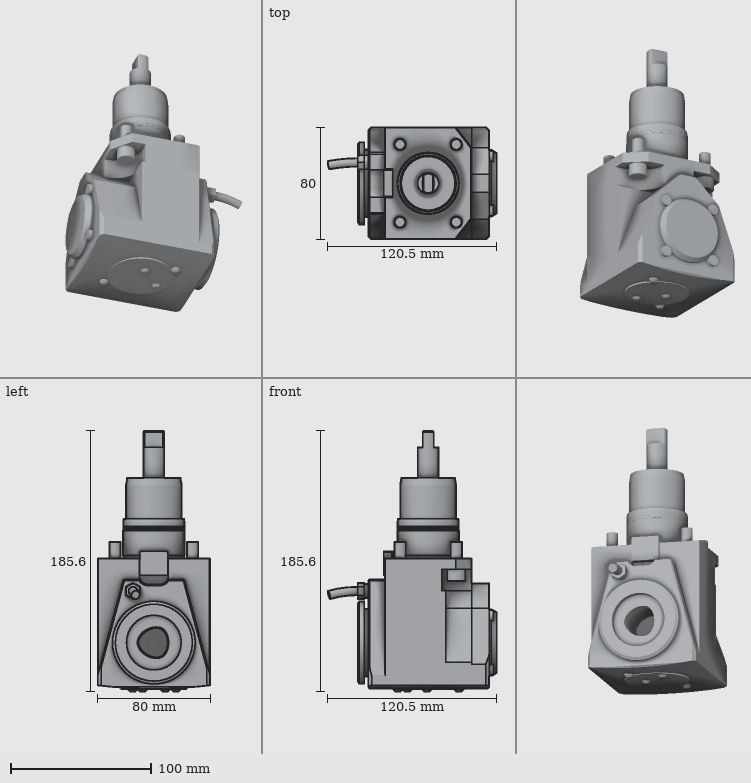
import cadquery as cq
import math


housing_width = 80.0
half_width = housing_width / 2
block_half_length = 31.0
base_left = -42.7
base_right = 43.5
base_side_bottom = -90.6
base_crown_bottom = -93.0
corner_chamfer = 2.5
base_end_chamfer = 1.3
edge_chamfer = 0.5
mount_corner_x = 19.7
mount_corner_y = 25.5

shoulder_top = -15.0
shoulder_top_half_width = 21.7
shoulder_foot = -83.4
shoulder_chamfer = 1.0

gable_top = -18.0
gable_top_half_width = 6.3
gable_knee = -35.8
gable_knee_half_width = 25.5
gable_foot = -75.5

flank_start = 12.5
flank_inset = 0.4
flank_foot = -74.1
access_start = 9.7
access_top = -7.8
access_bottom = -23.0
access_half_width = 11.7
access_corner_radius = 21.2

slot_width = 20.8
slot_bottom = -18.5
slot_corner_radius = 6.1
slot_floor = -25.3
key_width = 20.0
key_left = -31.8
key_top = 5.0
key_bottom = -12.3
key_chamfer = 0.7

spigot_radius = 44.0 / 2
spigot_relief_radius = 21.7
spigot_relief_top = 2.2
spigot_bevel = 0.4
seat_top = 20.0
ring_bottom = 20.8
ring_top = 21.7
collar_radius = 22.0
collar_bottom = 22.8
collar_bevel_start = 25.8
collar_top = 28.0
collar_top_radius = 21.5
nose_radius = 40.0 / 2
nose_bevel_start = 52.2
nose_top = 57.2
nose_top_radius = 19.1

shaft_diameter = 15.0
shaft_top = 90.6
shaft_chamfer = 0.7
tang_thickness = 8.0
tang_bottom = 79.0

screw_x = 20.0
screw_y = 27.7
stud_diameter = 8.2
stud_top = 11.7
stud_chamfer = 0.4
head_diameter = 13.0
head_bottom = -16.3

spindle_z = -60.2
flange_face = -50.3
flange_back = -45.5
flange_diameter = 58.9
flange_chamfer_depth = 2.0
flange_chamfer_height = 1.3
neck_diameter = 48.5
recess_diameter = 39.0
recess_depth = 5.0
polygon_radius = 11.1
polygon_lobe = 0.6
polygon_taper = 0.7
polygon_depth = 29.7
polygon_steps = 24

cap_diameter = 47.5
cap_face_diameter = 42.7
cap_rim_end = 45.1
cap_end = 49.0
cap_screw_offset = 19.3
cap_screw_diameter = 7.6
cap_screw_end = 46.5

gland_y = 14.9
gland_z = -23.4
gland_collar_diameter = 10.0
nut_across_flats = 10.0
nut_face = -50.3
nut_back = -45.7
cable_diameter = 6.1
cable_end_x = -70.5
cable_drop_y = -1.9
cable_drop_z = -2.8

cover_diameter = 46.5
cover_bottom = -93.4
foot_positions = [(-21.5, 15.0), (-14.9, -8.2), (-1.0, 8.0), (22.0, -15.8)]
foot_diameter = 6.7
foot_tip_diameter = 3.5
foot_bottom = -95.0


def side_prism(points, x_start, x_end):
    """Extrude a closed (y, z) outline along X."""
    return cq.Workplane("YZ", origin=(x_start, 0, 0)).polyline(points).close().extrude(x_end - x_start)


def mirrored_outline(right_points):
    """Close a (y, z) outline by mirroring its +Y half, listed from bottom to top."""
    return right_points + [(-y, z) for y, z in reversed(right_points)]


def x_disc(diameter, x_start, x_end, y=0, z=spindle_z):
    """Cylinder along X."""
    return cq.Workplane("YZ", origin=(x_start, y, z)).circle(diameter / 2).extrude(x_end - x_start)


def gable_outline(inset, foot):
    """(y, z) outline of the gable with its slopes moved inward."""
    return mirrored_outline([
        (half_width - inset, base_side_bottom),
        (half_width - inset, foot),
        (gable_knee_half_width - inset, gable_knee),
        (gable_top_half_width - inset, gable_top),
    ])


def make_base():
    """Crowned foot of the housing with the shoulder and gable above it."""
    length = base_right - base_left
    envelope = (
        cq.Workplane("XY", origin=((base_left + base_right) / 2, 0, base_crown_bottom))
        .rect(length, housing_width)
        .extrude(shoulder_top - base_crown_bottom)
        .edges("|Z").chamfer(corner_chamfer)
        .faces("<Z").edges("<X or >X").chamfer(base_end_chamfer)
    )
    profile = (
        cq.Workplane("YZ", origin=(base_left, 0, 0))
        .moveTo(-half_width, base_side_bottom)
        .threePointArc((0, base_crown_bottom), (half_width, base_side_bottom))
        .lineTo(half_width, shoulder_top)
        .lineTo(-half_width, shoulder_top)
        .close()
        .extrude(length)
    )
    shoulder_space = side_prism(
        mirrored_outline([
            (half_width, base_crown_bottom),
            (half_width, shoulder_foot),
            (shoulder_top_half_width, shoulder_top),
        ]),
        base_left, 0,
    )
    shoulder_space = shoulder_space.faces(">Z").edges("|X").chamfer(shoulder_chamfer)
    shoulder_space = shoulder_space.cut(make_key_slot())
    shoulder_space = shoulder_space.faces("<X").edges("not <Z").chamfer(shoulder_chamfer)
    gable_space = side_prism(gable_outline(0, gable_foot), block_half_length, base_right)
    gable_space = gable_space.union(
        cq.Workplane("XY", origin=(0, -half_width, base_crown_bottom))
        .box(base_right, housing_width, gable_foot - base_crown_bottom, centered=False)
    )
    return envelope.intersect(profile).intersect(shoulder_space.union(gable_space))


def make_block():
    """Upright block that carries the mounting face."""
    block = (
        cq.Workplane("XY", origin=(0, 0, base_side_bottom))
        .rect(2 * block_half_length, housing_width)
        .extrude(-base_side_bottom)
        .edges("|Z and <X").chamfer(edge_chamfer)
    )
    for side in (1, -1):
        corner = (
            cq.Workplane("XY", origin=(0, 0, access_bottom))
            .polyline([
                (mount_corner_x, side * half_width),
                (block_half_length, side * half_width),
                (block_half_length, side * mount_corner_y),
            ])
            .close()
            .extrude(-access_bottom)
        )
        block = block.cut(corner)
    return block.faces(">Z").edges().chamfer(edge_chamfer)


def cut_screw_pockets(block):
    """Free the screw heads and let the gable slopes run on into the block."""
    reach = block_half_length - flank_start
    flank_space = (
        cq.Workplane("XY", origin=(flank_start, -half_width, flank_foot))
        .box(reach, housing_width, access_bottom - flank_foot, centered=False)
    )
    kept = side_prism(gable_outline(flank_inset, flank_foot), flank_start, block_half_length)
    block = block.cut(flank_space.cut(kept))

    pocket_depth = half_width - access_half_width
    pocket_length = block_half_length - access_start
    for side in (1, -1):
        pocket = (
            cq.Workplane("XY", origin=(
                access_start + pocket_length / 2,
                side * (access_half_width + pocket_depth / 2),
                access_bottom,
            ))
            .rect(pocket_length, pocket_depth)
            .extrude(access_top - access_bottom)
        )
        inner_edge = "|Z and <X and <Y" if side > 0 else "|Z and <X and >Y"
        block = block.cut(pocket.edges(inner_edge).fillet(access_corner_radius))
    return block


def make_key_slot():
    """Round-cornered slot through the -X side, open at the mounting face."""
    return (
        cq.Workplane("YZ", origin=(base_left, 0, slot_bottom / 2))
        .rect(slot_width, -slot_bottom)
        .extrude(slot_floor - base_left)
        .edges("|X and <Z").fillet(slot_corner_radius)
    )


def make_key():
    length = slot_floor - key_left
    return (
        cq.Workplane("XY", origin=(key_left + length / 2, 0, key_bottom))
        .rect(length, key_width)
        .extrude(key_top - key_bottom)
        .faces("<Y or >Y").edges(">Z or >X").chamfer(key_chamfer)
    )


def make_spigot():
    """Turned centring spigot with a sealing groove below its collar."""
    profile = [
        (0, 0),
        (spigot_relief_radius, 0),
        (spigot_relief_radius, spigot_relief_top - spigot_bevel),
        (spigot_radius, spigot_relief_top),
        (spigot_radius, seat_top - spigot_bevel),
        (spigot_relief_radius, seat_top),
        (spigot_relief_radius, ring_bottom),
        (collar_radius, ring_bottom),
        (collar_radius, ring_top),
        (spigot_relief_radius, ring_top),
        (spigot_relief_radius, collar_bottom),
        (collar_radius, collar_bottom),
        (collar_radius, collar_bevel_start),
        (collar_top_radius, collar_top),
        (nose_radius, collar_top),
        (nose_radius, nose_bevel_start),
        (nose_top_radius, nose_top),
        (0, nose_top),
    ]
    return cq.Workplane("XZ").polyline(profile).close().revolve(360, (0, 0, 0), (0, 1, 0))


def make_shaft():
    """Drive shaft with a flat tang."""
    shaft = cq.Workplane("XY").circle(shaft_diameter / 2).extrude(shaft_top)
    flat_depth = (shaft_diameter - tang_thickness) / 2
    for side in (1, -1):
        flat = (
            cq.Workplane("XY", origin=(side * (tang_thickness + flat_depth) / 2, 0, tang_bottom))
            .rect(flat_depth, 2 * shaft_diameter)
            .extrude(shaft_top - tang_bottom)
        )
        shaft = shaft.cut(flat)
    return shaft.faces(">Z").chamfer(shaft_chamfer)


def make_clamping_screw():
    stud = (
        cq.Workplane("XY", origin=(0, 0, access_top))
        .circle(stud_diameter / 2)
        .extrude(stud_top - access_top)
        .faces(">Z").chamfer(stud_chamfer)
    )
    head = (
        cq.Workplane("XY", origin=(0, 0, head_bottom))
        .circle(head_diameter / 2)
        .extrude(access_top - head_bottom)
        .faces("<Z").chamfer(stud_chamfer)
    )
    return stud.union(head)


def make_flange():
    """Spindle flange and neck in front of the shoulder."""
    neck = x_disc(neck_diameter, flange_back, base_left)
    flange = x_disc(flange_diameter, flange_face, flange_back)
    flange = flange.faces("<X").chamfer(flange_chamfer_height, flange_chamfer_depth)
    return neck.union(flange)


def lobed_point(angle, mean_radius):
    """Point of the smooth three-lobed curve, one lobe toward +Y."""
    support = mean_radius + polygon_lobe * math.cos(3 * angle)
    slope = -3 * polygon_lobe * math.sin(3 * angle)
    return (
        support * math.cos(angle) - slope * math.sin(angle),
        support * math.sin(angle) + slope * math.cos(angle),
    )


def make_polygon_bore():
    """Tapered three-lobed bore from the recess floor inward."""
    start = flange_face + recess_depth
    steps = [2 * math.pi * i / polygon_steps for i in range(polygon_steps)]
    mouth = [lobed_point(angle, polygon_radius) for angle in steps]
    end = [lobed_point(angle, polygon_radius - polygon_taper) for angle in steps]
    return (
        cq.Workplane("YZ", origin=(start, 0, spindle_z))
        .spline(mouth, periodic=True).close()
        .workplane(offset=polygon_depth)
        .spline(end, periodic=True).close()
        .loft()
    )


def make_cap():
    """Conical rear cap held by four screw heads that overlap its rim."""
    rim = x_disc(cap_diameter, base_right, cap_rim_end)
    cone = (
        cq.Workplane("YZ", origin=(cap_rim_end, 0, spindle_z))
        .circle(cap_diameter / 2)
        .workplane(offset=cap_end - cap_rim_end)
        .circle(cap_face_diameter / 2)
        .loft()
    )
    cap = rim.union(cone)
    for y in (-cap_screw_offset, cap_screw_offset):
        for z in (spindle_z - cap_screw_offset, spindle_z + cap_screw_offset):
            cap = cap.union(x_disc(cap_screw_diameter, base_right, cap_screw_end, y, z))
    return cap


def make_cable_gland():
    """Collar, hexagon nut and the bent cable leaving it."""
    collar = x_disc(gland_collar_diameter, nut_back, base_left, gland_y, gland_z)
    nut = (
        cq.Workplane("YZ", origin=(nut_face, gland_y, gland_z))
        .polygon(6, nut_across_flats, circumscribed=True)
        .extrude(nut_back - nut_face)
    )
    run = nut_face - cable_end_x
    drop = math.hypot(cable_drop_y, cable_drop_z)
    bend_radius = (run ** 2 + drop ** 2) / (2 * drop)
    half_angle = math.asin(run / bend_radius) / 2
    middle_share = bend_radius * (1 - math.cos(half_angle)) / drop
    path = cq.Workplane("XY", origin=(nut_face, gland_y, gland_z)).threePointArc(
        (-bend_radius * math.sin(half_angle), middle_share * cable_drop_y, middle_share * cable_drop_z),
        (-run, cable_drop_y, cable_drop_z),
    )
    cable = (
        cq.Workplane("YZ", origin=(nut_face, gland_y, gland_z))
        .circle(cable_diameter / 2)
        .sweep(path)
    )
    return collar.union(nut).union(cable)


def make_underside():
    """Round cover under the base with its conical screw heads."""
    cover = (
        cq.Workplane("XY", origin=(0, 0, cover_bottom))
        .circle(cover_diameter / 2)
        .extrude(base_side_bottom - cover_bottom)
    )
    heads = (
        cq.Workplane("XY", origin=(0, 0, base_side_bottom))
        .pushPoints(foot_positions)
        .circle(foot_diameter / 2)
        .extrude(cover_bottom - base_side_bottom)
    )
    for x, y in foot_positions:
        tip = (
            cq.Workplane("XY", origin=(x, y, foot_bottom))
            .circle(foot_tip_diameter / 2)
            .workplane(offset=cover_bottom - foot_bottom)
            .circle(foot_diameter / 2)
            .loft()
        )
        heads = heads.union(tip)
    return cover.union(heads)


housing = make_base().union(cut_screw_pockets(make_block())).cut(make_key_slot())
result = housing.union(make_key()).union(make_spigot()).union(make_shaft())
for x in (-screw_x, screw_x):
    for y in (-screw_y, screw_y):
        result = result.union(make_clamping_screw().translate((x, y, 0)))
result = result.union(make_flange()).union(make_cap())
result = result.cut(x_disc(recess_diameter, flange_face, flange_face + recess_depth)).cut(make_polygon_bore())
result = result.union(make_cable_gland()).union(make_underside())